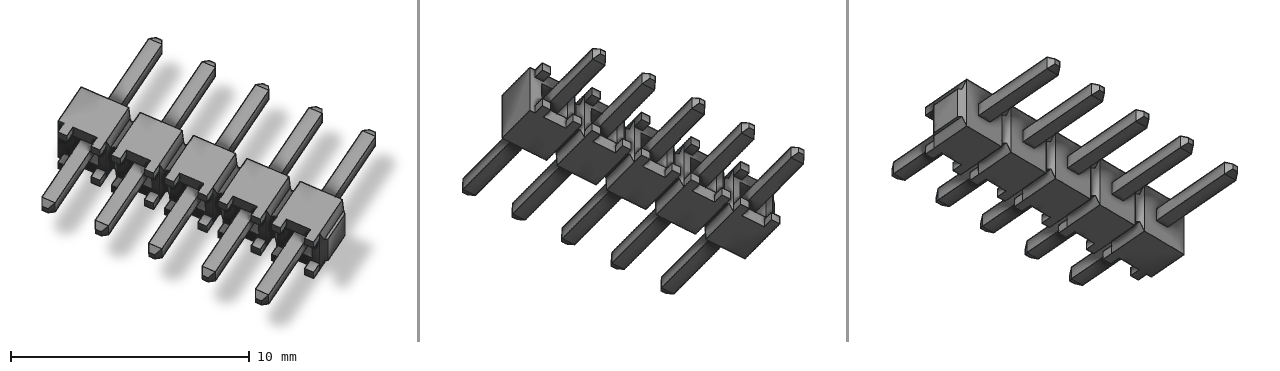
import cadquery as cq


pin_count = 5
pitch = 2.54
row_length = pin_count * pitch

body_depth = 2.02
body_height = 2.54
body_front = -body_depth / 2
body_back = body_depth / 2

notch_half_width = 0.27
notch_depth_y = notch_half_width
notch_depth_z = 0.52
notch_floor_half_width = 0.13

foot_size = 0.43
foot_length = 0.52
foot_offset_x = pitch / 2 - notch_half_width - foot_size / 2
foot_offset_z = (body_height - foot_size) / 2

pin_size = 0.64
pin_tip_size = 0.28
pin_tip_length = 0.3
pin_front_reach = 3.52
pin_length = 10.05
pin_front = body_front - pin_front_reach

recess_size = 1.32
recess_depth = 0.55

cell_centers = [(i + 0.5) * pitch - row_length / 2 for i in range(pin_count)]
notch_centers = [x + pitch / 2 for x in cell_centers]


def box_between(x_range, y_range, z_range):
    """Box spanning the given (low, high) limits on each axis."""
    sizes = [high - low for low, high in (x_range, y_range, z_range)]
    corner = (x_range[0], y_range[0], z_range[0])
    return cq.Workplane("XY").box(*sizes, centered=False).translate(corner)


def square_taper(x, y_start, size_start, y_end, size_end):
    """Square frustum along Y, centred on the pin axis at x."""
    start_plane = cq.Plane(origin=(x, y_start, 0), xDir=(1, 0, 0), normal=(0, 1, 0))
    return (
        cq.Workplane(start_plane)
        .rect(size_start, size_start)
        .workplane(offset=y_end - y_start)
        .rect(size_end, size_end)
        .loft(combine=True)
    )


def notch(x):
    """Cutter for the V grooves front and back and the flat-floored grooves top and bottom."""
    cutter = cq.Workplane("XY")
    for side in (-1, 1):
        face_y = side * body_depth / 2
        v_groove = (
            cq.Workplane("XY", origin=(x, 0, -body_height / 2))
            .polyline([
                (-notch_half_width, face_y),
                (0, face_y - side * notch_depth_y),
                (notch_half_width, face_y),
            ])
            .close()
            .extrude(body_height)
        )
        face_z = side * body_height / 2
        floor_z = face_z - side * notch_depth_z
        flat_groove = (
            cq.Workplane("XZ", origin=(x, body_back, 0))
            .polyline([
                (-notch_half_width, face_z),
                (-notch_floor_half_width, floor_z),
                (notch_floor_half_width, floor_z),
                (notch_half_width, face_z),
            ])
            .close()
            .extrude(body_depth)
        )
        cutter = cutter.add(v_groove).add(flat_groove)
    return cutter.combine()


def feet(x):
    """Four square feet on the housing front, around the pin at x."""
    return (
        cq.Workplane("XZ", origin=(x, body_front, 0))
        .rect(2 * foot_offset_x, 2 * foot_offset_z, forConstruction=True)
        .vertices()
        .rect(foot_size, foot_size)
        .extrude(foot_length)
    )


def pin(x):
    """Square pin with a tapered tip at each end."""
    pin_back = pin_front + pin_length
    shank_front = pin_front + pin_tip_length
    shank_back = pin_back - pin_tip_length
    half = pin_size / 2
    shank = box_between((x - half, x + half), (shank_front, shank_back), (-half, half))
    front_tip = square_taper(x, shank_front, pin_size, pin_front, pin_tip_size)
    back_tip = square_taper(x, shank_back, pin_size, pin_back, pin_tip_size)
    return shank.union(front_tip).union(back_tip)


result = cq.Workplane("XY").box(row_length, body_depth, body_height)

for x in notch_centers:
    result = result.cut(notch(x))

for x in cell_centers:
    recess = square_taper(x, body_front, recess_size, body_front + recess_depth, pin_size)
    result = result.cut(recess).union(feet(x)).union(pin(x))